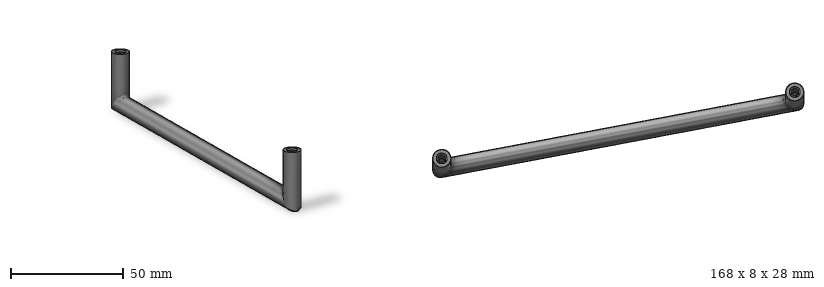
import cadquery as cq
import math

length = 168.0
height = 28.0
bar_diameter = 8.0
bar_radius = bar_diameter / 2
leg_offset = length / 2 - bar_radius
leg_top = height - bar_radius

corner_radius = 1.0
outer_reach = bar_radius - corner_radius
inner_reach = bar_radius + corner_radius
guide_turns = (15, 30, 45, 60, 75)
guide_angles = (-60, -40, -20, 0, 20, 40, 60)

hole_diameter = 3.4
hole_depth = 10.0
countersink_diameter = 4.9
drill_point_angle = 118.0


def leg():
    """Left leg with its axis on Z, ending on the start of the corner rounding."""
    side_outline = (
        cq.Workplane("XZ")
        .polyline(
            [
                (-bar_radius, -outer_reach),
                (0, 0),
                (bar_radius, inner_reach),
                (bar_radius, leg_top),
                (-bar_radius, leg_top),
            ]
        )
        .close()
        .extrude(bar_radius, both=True)
    )
    cylinder = cq.Workplane("XY", origin=(0, 0, -bar_radius)).circle(bar_radius).extrude(height)
    return cylinder.intersect(side_outline)


def grip():
    """Whole grip, centred on the origin with its axis on X."""
    side_outline = (
        cq.Workplane("XZ")
        .polyline(
            [
                (-leg_offset - outer_reach, -bar_radius),
                (-leg_offset, 0),
                (-leg_offset + inner_reach, bar_radius),
                (leg_offset - inner_reach, bar_radius),
                (leg_offset, 0),
                (leg_offset + outer_reach, -bar_radius),
            ]
        )
        .close()
        .extrude(bar_radius, both=True)
    )
    cylinder = cq.Workplane("YZ").circle(bar_radius).extrude(length / 2, both=True)
    return cylinder.intersect(side_outline)


def corner_wedge(side, reach):
    """Rounded wedge between leg and grip: side 1 is inside the bend, -1 outside.

    Its two flat faces are half ellipses sharing the diameter along Y; the
    curved face between them fades to nothing where the bars meet at the sides.
    """
    tip_distance = math.hypot(bar_radius, reach)
    front = cq.Vector(0, -bar_radius, 0)
    back = cq.Vector(0, bar_radius, 0)
    diameter = cq.Edge.makeLine(back, front)

    def half_ellipse(x, z):
        radial = cq.Vector(x, 0, z).normalized()
        normal = radial.cross(cq.Vector(0, 1, 0))
        return cq.Edge.makeEllipse(
            tip_distance, bar_radius, cq.Vector(), normal, radial, -90, 90
        )

    leg_edge = half_ellipse(side * bar_radius, side * reach)
    grip_edge = half_ellipse(side * reach, side * bar_radius)
    arc_points = []
    for turn in guide_turns:
        arc_x = reach + (bar_radius - reach) * math.cos(math.radians(turn))
        arc_z = reach + (bar_radius - reach) * math.sin(math.radians(turn))
        for around in guide_angles:
            scale = side * math.cos(math.radians(around))
            y = bar_radius * math.sin(math.radians(around))
            arc_points.append(cq.Vector(scale * arc_x, y, scale * arc_z))
    rounding = cq.Face.makeNSidedSurface([leg_edge, grip_edge], arc_points)
    flats = [
        cq.Face.makeFromWires(cq.Wire.assembleEdges([edge, diameter]))
        for edge in (leg_edge, grip_edge)
    ]
    shell = cq.Shell.makeShell([rounding] + flats)
    return cq.Workplane(cq.Solid.makeSolid(shell).fix())


def screw_hole():
    """Countersunk drilled hole with a conical bottom, as a solid to cut away."""
    hole_radius = hole_diameter / 2
    countersink_radius = countersink_diameter / 2
    countersink_depth = countersink_radius - hole_radius
    point_depth = hole_radius / math.tan(math.radians(drill_point_angle / 2))
    half_section = (
        cq.Workplane("XZ")
        .moveTo(0, 0)
        .lineTo(countersink_radius, 0)
        .lineTo(hole_radius, -countersink_depth)
        .lineTo(hole_radius, -hole_depth)
        .lineTo(0, -hole_depth - point_depth)
        .close()
    )
    return half_section.revolve(360, (0, 0), (0, 1)).translate((0, 0, leg_top))


left_end = (
    leg()
    .union(corner_wedge(1, inner_reach))
    .union(corner_wedge(-1, outer_reach))
    .cut(screw_hole())
    .translate((-leg_offset, 0, 0))
)
result = grip().union(left_end).union(left_end.mirror("YZ"))